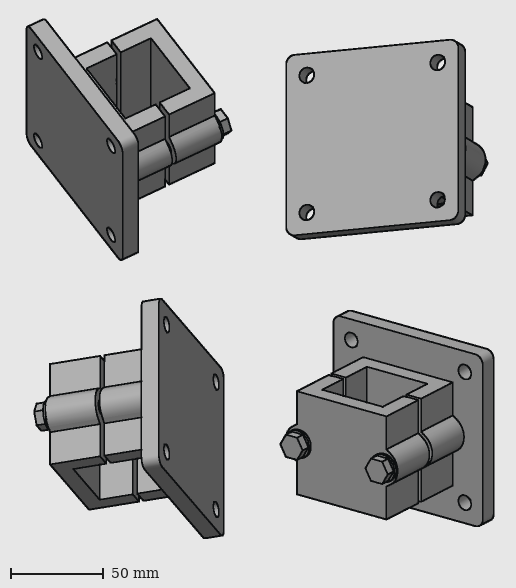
import cadquery as cq
import math

plate_side = 100.0
plate_thickness = 10.0
plate_corner_radius = 5.0
plate_hole_diameter = 8.5
plate_hole_spacing = 76.0

clamp_side = 60.0
opening_side = 40.5
split_gap = 2.5
clamp_end_y = plate_thickness + clamp_side
clamp_center_y = plate_thickness + clamp_side / 2

lug_tip_x = 37.5
lug_radius = 10.8
lug_center_x = lug_tip_x - lug_radius
lug_root_x = clamp_side / 2
lug_root_z = 10.8

bolt_x = 28.5
bolt_diameter = 8.0
washer_diameter = 16.0
washer_thickness = 1.6
head_across_flats = 13.0
head_height = 5.3


def along_y(start_y):
    """Sketch plane at start_y whose extrusions run toward +Y (local y is -Z)."""
    return cq.Workplane("XZ", origin=(0, start_y, 0)).transformed(rotate=(180, 0, 0))


def make_plate():
    plate = along_y(0).rect(plate_side, plate_side).extrude(plate_thickness)
    plate = plate.edges("|Y").fillet(plate_corner_radius)
    holes = (
        along_y(0)
        .rect(plate_hole_spacing, plate_hole_spacing, forConstruction=True)
        .vertices()
        .circle(plate_hole_diameter / 2)
        .extrude(plate_thickness)
    )
    return plate.cut(holes)


def make_lug(side):
    """Lug on the +X (side = 1) or -X (side = -1) face of the clamp."""
    root_dx = lug_root_x - lug_center_x
    root_distance = math.hypot(root_dx, lug_root_z)
    tangent_angle = math.atan2(lug_root_z, root_dx) - math.acos(lug_radius / root_distance)
    tangent_x = lug_center_x + lug_radius * math.cos(tangent_angle)
    tangent_z = lug_radius * math.sin(tangent_angle)
    inner_x = (opening_side + clamp_side) / 4
    return (
        along_y(plate_thickness)
        .moveTo(side * inner_x, -lug_root_z)
        .lineTo(side * lug_root_x, -lug_root_z)
        .lineTo(side * tangent_x, -tangent_z)
        .threePointArc((side * lug_tip_x, 0), (side * tangent_x, tangent_z))
        .lineTo(side * lug_root_x, lug_root_z)
        .lineTo(side * inner_x, lug_root_z)
        .close()
        .extrude(clamp_side)
    )


def make_clamp():
    clamp_center = (0, clamp_center_y, 0)
    clamp = cq.Workplane("XY").box(clamp_side, clamp_side, clamp_side).translate(clamp_center)
    for side in (-1, 1):
        clamp = clamp.union(make_lug(side))
    opening = cq.Workplane("XY").box(opening_side, opening_side, clamp_side)
    split = cq.Workplane("XY").box(2 * lug_tip_x, split_gap, clamp_side)
    return clamp.cut(opening.translate(clamp_center)).cut(split.translate(clamp_center))


def make_bolt(x):
    shank = along_y(plate_thickness).center(x, 0).circle(bolt_diameter / 2).extrude(clamp_side)
    washer = along_y(clamp_end_y).center(x, 0).circle(washer_diameter / 2).extrude(washer_thickness)
    head_across_corners = head_across_flats / math.cos(math.pi / 6)
    head = (
        along_y(clamp_end_y + washer_thickness)
        .center(x, 0)
        .polygon(6, head_across_corners)
        .extrude(head_height)
    )
    return shank.union(washer).union(head)


result = make_plate().union(make_clamp())
for side in (-1, 1):
    result = result.union(make_bolt(side * bolt_x))